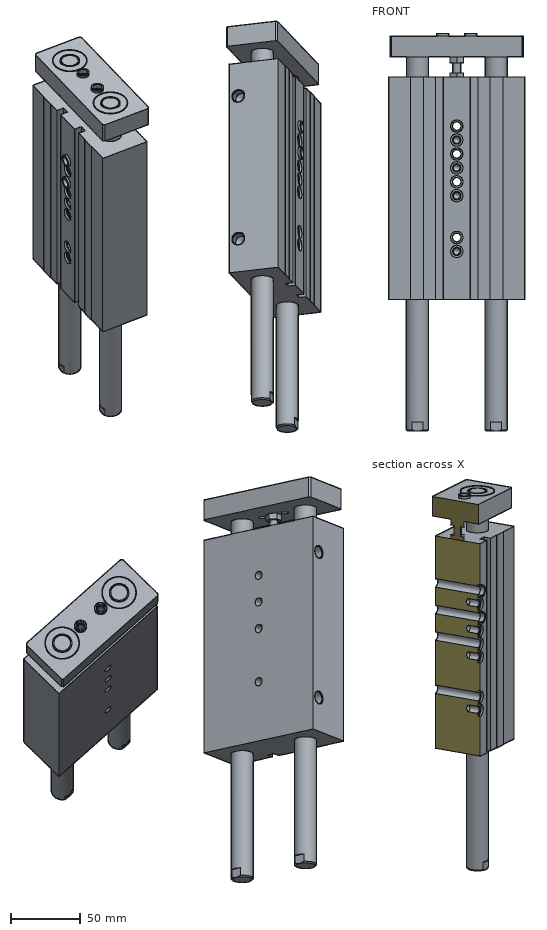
import cadquery as cq
import math


HOUSING_BOTTOM = 95.0
HOUSING_TOP = 255.5
PLATE_BOTTOM = 270.0
OVERALL_HEIGHT = 287.0
SLEEVE_PROJECTION = 1.86
PLATE_TOP = OVERALL_HEIGHT - SLEEVE_PROJECTION

HOUSING_WIDTH = 98.0
SLEEVE_FRONT = -21.0
HOUSING_FRONT = SLEEVE_FRONT + SLEEVE_PROJECTION
HOUSING_BACK = 18.5
SIDE_PANEL_STEP = 0.3
CORNER_BEVEL_X = 0.3
CORNER_BEVEL_Y = 1.5
SLOT_INNER_X = 9.8
SLOT_WIDTH = 5.5
SLOT_DEPTH = 5.7
SLOT_BEVEL = 0.3
BAND_INNER_X = 23.8
BAND_OUTER_X = 33.3

PORT_DIAMETER = 8.5
PORT_MOUTH_DIAMETER = 9.8
PORT_DEPTH = 7.2
PORT_Y = 11.5
PORT_LEVELS = (120.5, 230.5)
DRILL_POINT_ANGLE = 118.0

HOLE_PITCH = 10.0
TOP_HOLE_Z = 220.0
THROUGH_HOLE_STEPS = (0, 2, 4, 8)
TAPPED_HOLE_STEPS = (1, 3, 5, 9)
HOUSING_SLEEVE_STEPS = (0, 2)
THROUGH_HOLE_DIAMETER = 6.0
TAPPED_HOLE_DIAMETER = 5.0
TAPPED_HOLE_DEPTH = 10.0
TAPPED_HOLE_MOUTH = 6.0
TAPPED_HOLE_MOUTH_DEPTH = 0.5

SLEEVE_DIAMETER = 9.0
SLEEVE_BORE = 6.3
SLEEVE_SEAT_DEPTH = 1.7
SLEEVE_LENGTH = SLEEVE_PROJECTION + SLEEVE_SEAT_DEPTH
SLEEVE_CHAMFER = 0.15
PLATE_SLEEVE_X = HOLE_PITCH

ROD_DIAMETER = 16.0
ROD_X = 28.5
ROD_CHAMFER = 1.0
JOURNAL_DIAMETER = 14.0
ROD_FLATS_WIDTH = 14.0
ROD_FLATS_HEIGHT = 6.5

PLATE_WIDTH = 96.0
PLATE_FRONT = -17.8
PLATE_BACK = 21.0
PLATE_CORNER_CHAMFER = 1.1
RING_OUTER_DIAMETER = 25.0
RING_INNER_DIAMETER = 24.0

STEM_DIAMETER = 6.0
HEX_FLATS_WIDTH = 9.8
UPPER_HEX_HEIGHT = 4.3
LOWER_HEX_HEIGHT = 3.0


def z_cylinder(diameter, x, bottom, top):
    return cq.Workplane("XY", origin=(x, 0, bottom)).circle(diameter / 2).extrude(top - bottom)


def drilled_hole(diameter, depth):
    """Blind-hole cutter with a conical end, drilled along +Z from the origin."""
    radius = diameter / 2
    tip_length = radius / math.tan(math.radians(DRILL_POINT_ANGLE / 2))
    return (
        cq.Workplane("XZ")
        .polyline([(0, 0), (radius, 0), (radius, depth), (0, depth + tip_length)])
        .close()
        .revolve(360, (0, 0, 0), (0, 1, 0))
    )


def front_hole(diameter, depth, z):
    """Flat-ended cutter going into the housing front along +Y."""
    start = cq.Workplane("XZ", origin=(0, HOUSING_FRONT, z))
    return start.circle(diameter / 2).extrude(-depth)


def hole_z(step):
    return TOP_HOLE_Z - step * HOLE_PITCH


def make_housing_profile():
    """Cross-section with slots beside the centre panel and two raised bands."""
    half_width = HOUSING_WIDTH / 2
    side_front = HOUSING_FRONT + SIDE_PANEL_STEP
    slot_outer_x = SLOT_INNER_X + SLOT_WIDTH
    slot_floor = HOUSING_FRONT + SLOT_DEPTH
    right_side = [
        (SLOT_INNER_X - SLOT_BEVEL, HOUSING_FRONT),
        (SLOT_INNER_X, HOUSING_FRONT + SLOT_BEVEL),
        (SLOT_INNER_X, slot_floor),
        (slot_outer_x, slot_floor),
        (slot_outer_x, side_front),
        (BAND_INNER_X, side_front),
        (BAND_INNER_X, HOUSING_FRONT),
        (BAND_OUTER_X, HOUSING_FRONT),
        (BAND_OUTER_X, side_front),
        (half_width - CORNER_BEVEL_X, side_front),
        (half_width, side_front + CORNER_BEVEL_Y),
        (half_width, HOUSING_BACK),
    ]
    left_side = [(-x, y) for x, y in reversed(right_side)]
    outline = cq.Workplane("XY", origin=(0, 0, HOUSING_BOTTOM))
    return outline.polyline(right_side + left_side).close()


def make_housing():
    housing = make_housing_profile().extrude(HOUSING_TOP - HOUSING_BOTTOM)

    for side in (-1, 1):
        housing = housing.cut(z_cylinder(ROD_DIAMETER, side * ROD_X, HOUSING_BOTTOM, HOUSING_TOP))

    mouth_depth = (PORT_MOUTH_DIAMETER - PORT_DIAMETER) / 2
    mouth = cq.Workplane("XY").add(
        cq.Solid.makeCone(PORT_MOUTH_DIAMETER / 2, PORT_DIAMETER / 2, mouth_depth)
    )
    port = drilled_hole(PORT_DIAMETER, PORT_DEPTH).union(mouth).rotate((0, 0, 0), (0, 1, 0), 90)
    for z in PORT_LEVELS:
        housing = housing.cut(port.translate((-HOUSING_WIDTH / 2, PORT_Y, z)))

    for step in THROUGH_HOLE_STEPS:
        through_depth = HOUSING_BACK - HOUSING_FRONT
        housing = housing.cut(front_hole(THROUGH_HOLE_DIAMETER, through_depth, hole_z(step)))

    tapped_hole = drilled_hole(TAPPED_HOLE_DIAMETER, TAPPED_HOLE_DEPTH).rotate((0, 0, 0), (1, 0, 0), -90)
    for step in TAPPED_HOLE_STEPS:
        housing = housing.cut(tapped_hole.translate((0, HOUSING_FRONT, hole_z(step))))
        mouth_depth = SLEEVE_SEAT_DEPTH + TAPPED_HOLE_MOUTH_DEPTH
        housing = housing.cut(front_hole(TAPPED_HOLE_MOUTH, mouth_depth, hole_z(step)))

    for step in THROUGH_HOLE_STEPS + TAPPED_HOLE_STEPS:
        housing = housing.cut(front_hole(SLEEVE_DIAMETER, SLEEVE_SEAT_DEPTH, hole_z(step)))
    return housing


def make_ring_groove(x):
    """V-groove cutter around a rod end in the top of the plate."""
    outer = RING_OUTER_DIAMETER / 2
    inner = RING_INNER_DIAMETER / 2
    middle = (outer + inner) / 2
    groove = (
        cq.Workplane("XZ")
        .polyline([(inner, 0), (outer, 0), (middle, inner - outer)])
        .close()
        .revolve(360, (0, 0, 0), (0, 1, 0))
    )
    return groove.translate((x, 0, PLATE_TOP))


def make_hexagon(bottom, height):
    """Hexagonal prism with two flats square to X."""
    corner_diameter = HEX_FLATS_WIDTH / math.cos(math.pi / 6)
    hexagon = cq.Workplane("XY").polygon(6, corner_diameter).extrude(height)
    return hexagon.rotate((0, 0, 0), (0, 0, 1), 30).translate((0, 0, bottom))


def make_plate():
    plate = (
        cq.Workplane("XY", origin=(0, (PLATE_FRONT + PLATE_BACK) / 2, PLATE_BOTTOM))
        .rect(PLATE_WIDTH, PLATE_BACK - PLATE_FRONT)
        .extrude(PLATE_TOP - PLATE_BOTTOM)
        .edges("|Z")
        .chamfer(PLATE_CORNER_CHAMFER)
    )
    for side in (-1, 1):
        plate = plate.cut(z_cylinder(JOURNAL_DIAMETER, side * ROD_X, PLATE_BOTTOM, PLATE_TOP))
        plate = plate.cut(make_ring_groove(side * ROD_X))
        sleeve_x = side * PLATE_SLEEVE_X
        plate = plate.cut(z_cylinder(TAPPED_HOLE_DIAMETER, sleeve_x, PLATE_BOTTOM, PLATE_TOP))
        seat_bottom = PLATE_TOP - SLEEVE_SEAT_DEPTH
        plate = plate.cut(z_cylinder(SLEEVE_DIAMETER, sleeve_x, seat_bottom, PLATE_TOP))

    stem = z_cylinder(STEM_DIAMETER, 0, HOUSING_TOP, PLATE_BOTTOM)
    upper_hex = make_hexagon(PLATE_BOTTOM - UPPER_HEX_HEIGHT, UPPER_HEX_HEIGHT)
    lower_hex = make_hexagon(HOUSING_TOP, LOWER_HEX_HEIGHT)
    return plate.union(stem).union(upper_hex).union(lower_hex)


def make_guide_rod(x):
    """Rod flush with the plate top, with two wrench flats at its lower end."""
    shaft = z_cylinder(ROD_DIAMETER, x, 0, PLATE_BOTTOM)
    journal = z_cylinder(JOURNAL_DIAMETER, x, PLATE_BOTTOM, PLATE_TOP)
    rod = shaft.union(journal).faces("<Z or >Z").chamfer(ROD_CHAMFER)
    flats_zone = z_cylinder(2 * ROD_DIAMETER, x, 0, ROD_FLATS_HEIGHT)
    kept_core = (
        cq.Workplane("XY", origin=(x, 0, 0))
        .rect(2 * ROD_DIAMETER, ROD_FLATS_WIDTH)
        .extrude(ROD_FLATS_HEIGHT)
    )
    return rod.cut(flats_zone.cut(kept_core))


def make_sleeve():
    """Sleeve along +Z with its seated end at the origin."""
    return (
        cq.Workplane("XY")
        .circle(SLEEVE_DIAMETER / 2)
        .extrude(SLEEVE_LENGTH)
        .faces(">Z")
        .edges()
        .chamfer(SLEEVE_CHAMFER)
        .faces(">Z")
        .workplane()
        .hole(SLEEVE_BORE)
    )


housing = make_housing()
plate = make_plate()
guide_rods = [make_guide_rod(side * ROD_X) for side in (-1, 1)]

plate_sleeves = [
    make_sleeve().translate((side * PLATE_SLEEVE_X, 0, PLATE_TOP - SLEEVE_SEAT_DEPTH))
    for side in (-1, 1)
]
front_sleeve = make_sleeve().rotate((0, 0, 0), (1, 0, 0), 90)
housing_sleeves = [
    front_sleeve.translate((0, HOUSING_FRONT + SLEEVE_SEAT_DEPTH, hole_z(step)))
    for step in HOUSING_SLEEVE_STEPS
]

bodies = [housing, plate] + guide_rods + plate_sleeves + housing_sleeves
result = cq.Compound.makeCompound([body.val() for body in bodies])